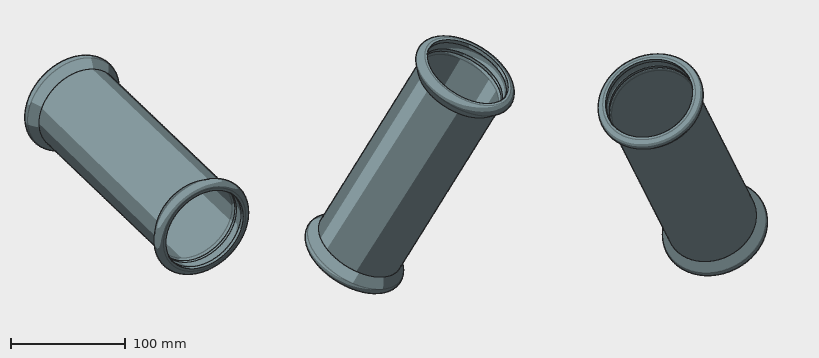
import cadquery as cq
import math

length = 230.0
tube_diameter = 80.7
bore_diameter = 76.5
socket_diameter = 78.5
bead_diameter = 94.5
bead_round = 5.5
groove_height = 1.0

flare_start_depth = 8.0
neck_depth = 16.8
groove_start_depth = 3.7
groove_end_depth = 11.5
socket_end_depth = 14.3
bore_start_depth = 17.2

half_length = length / 2
tube_radius = tube_diameter / 2
bore_radius = bore_diameter / 2
socket_radius = socket_diameter / 2

bead_center_radius = bead_diameter / 2 - bead_round
flare_start_radius = bead_center_radius + math.sqrt(bead_round**2 - (flare_start_depth - bead_round) ** 2)

groove_center_depth = (groove_start_depth + groove_end_depth) / 2

stop_length = bore_start_depth - socket_end_depth
stop_height = socket_radius - bore_radius
stop_round = (stop_length**2 + stop_height**2) / (2 * stop_height)
stop_half_angle = math.asin(stop_length / stop_round) / 2
stop_middle = (
    bore_start_depth - stop_round * math.sin(stop_half_angle),
    bore_radius + stop_round * (1 - math.cos(stop_half_angle)),
)


def left_half_sleeve():
    """Revolve the wall section between the left end face, at X = 0, and mid-length."""
    arc_offset = bead_round * math.sqrt(0.5)
    wall = (
        cq.Workplane("XY")
        .moveTo(0, socket_radius)
        .lineTo(0, bead_center_radius)
        .threePointArc(
            (bead_round - arc_offset, bead_center_radius + arc_offset),
            (flare_start_depth, flare_start_radius),
        )
        .lineTo(neck_depth, tube_radius)
        .lineTo(half_length, tube_radius)
        .lineTo(half_length, bore_radius)
        .lineTo(bore_start_depth, bore_radius)
        .threePointArc(stop_middle, (socket_end_depth, socket_radius))
        .lineTo(groove_end_depth, socket_radius)
        .threePointArc(
            (groove_center_depth, socket_radius + groove_height),
            (groove_start_depth, socket_radius),
        )
        .close()
    )
    return wall.revolve(360, (0, 0, 0), (1, 0, 0))


left_half = left_half_sleeve().translate((-half_length, 0, 0))
result = left_half.union(left_half.mirror("YZ"), clean=True)